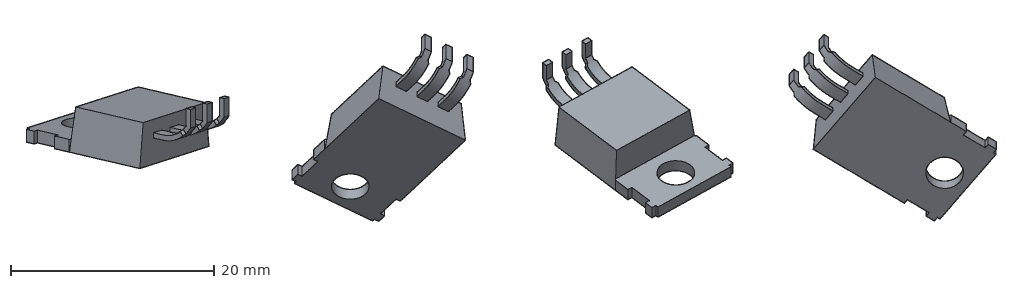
import cadquery as cq
import math

WIDTH = 10.5
TAB_THICKNESS = 1.31
NOTCH_DEPTH = 0.5
FRONT_STEP = 0.31
NOTCH_START = 1.31
NOTCH_END = 3.95
TAB_SIDE_END = 5.83
TAB_CORNER = 0.3
HOLE_X = 2.83
HOLE_DIAMETER = 3.7

BODY_FRONT = 5.86
BODY_BACK = 14.98
BODY_HEIGHT = 4.6
FRONT_LEAN = 0.4
SIDE_LEAN = 0.5

LENGTH = 19.55
HEIGHT = 6.4
LEAD_COUNT = 3
LEAD_PITCH = 2.55
LEAD_WIDTH = 1.3
TIP_WIDTH = 0.8
LEAD_BOTTOM = 2.7
LEAD_THICKNESS = 0.53
TIP_THICKNESS = 0.59
LEAD_EMBED = 0.98
BEND_START_X = 16.3
INNER_RADIUS = 3.3
TAPER_START_ANGLE = 40.0
TAPER_END_ANGLE = 44.5

OUTER_RADIUS = INNER_RADIUS + LEAD_THICKNESS
LEAD_TOP = LEAD_BOTTOM + LEAD_THICKNESS
BEND_CENTER_Z = LEAD_BOTTOM + OUTER_RADIUS


def bend_point(radius, angle):
    """Point (x, z) on the bend after turning the given angle from horizontal."""
    turn = math.radians(angle)
    return (BEND_START_X + radius * math.sin(turn), BEND_CENTER_Z - radius * math.cos(turn))


def angle_at_x(radius, x):
    """Bend angle at which an arc of the given radius reaches x."""
    return math.degrees(math.asin((x - BEND_START_X) / radius))


def make_tab():
    tab_length = TAB_SIDE_END + TAB_CORNER
    tab = cq.Workplane("XY").box(tab_length, WIDTH, TAB_THICKNESS, centered=(False, True, False))
    tab = tab.edges("|Z and >X").chamfer(TAB_CORNER)
    for start, end in ((0, FRONT_STEP), (NOTCH_START, NOTCH_END)):
        for side in (-1, 1):
            notch = (
                cq.Workplane("XY")
                .center((start + end) / 2, side * WIDTH / 2)
                .rect(end - start, 2 * NOTCH_DEPTH)
                .extrude(TAB_THICKNESS)
            )
            tab = tab.cut(notch)
    hole = cq.Workplane("XY").center(HOLE_X, 0).circle(HOLE_DIAMETER / 2).extrude(TAB_THICKNESS)
    return tab.cut(hole)


def make_body():
    base_length = BODY_BACK - BODY_FRONT
    return (
        cq.Workplane("XY")
        .center((BODY_FRONT + BODY_BACK) / 2, 0)
        .rect(base_length, WIDTH)
        .workplane(offset=BODY_HEIGHT)
        .center(FRONT_LEAN / 2, 0)
        .rect(base_length - FRONT_LEAN, WIDTH - 2 * SIDE_LEAN)
        .loft(ruled=True)
    )


def make_lead_blank():
    """Bent lead at full width over its whole length, centred on y = 0."""
    root_x = BODY_BACK - LEAD_EMBED
    tip_inner_x = LENGTH - TIP_THICKNESS
    outer_end = angle_at_x(OUTER_RADIUS, LENGTH)
    inner_end = angle_at_x(INNER_RADIUS, tip_inner_x)
    return (
        cq.Workplane("XZ")
        .moveTo(root_x, LEAD_BOTTOM)
        .lineTo(BEND_START_X, LEAD_BOTTOM)
        .threePointArc(bend_point(OUTER_RADIUS, outer_end / 2), bend_point(OUTER_RADIUS, outer_end))
        .lineTo(LENGTH, HEIGHT)
        .lineTo(tip_inner_x, HEIGHT)
        .lineTo(*bend_point(INNER_RADIUS, inner_end))
        .threePointArc(bend_point(INNER_RADIUS, inner_end / 2), (BEND_START_X, LEAD_TOP))
        .lineTo(root_x, LEAD_TOP)
        .close()
        .extrude(LEAD_WIDTH / 2, both=True)
    )


def make_lead():
    """Lead narrowed by a sloping shoulder on each side, from the bend to the tip."""
    turn = math.radians(TAPER_START_ANGLE)
    mean_radius = (INNER_RADIUS + OUTER_RADIUS) / 2
    start_x, start_z = bend_point(mean_radius, TAPER_START_ANGLE)
    shoulder_length = mean_radius * math.radians(TAPER_END_ANGLE - TAPER_START_ANGLE)
    shoulder_plane = cq.Plane(
        origin=(start_x, 0, start_z),
        xDir=(math.cos(turn), 0, math.sin(turn)),
        normal=(-math.sin(turn), 0, math.cos(turn)),
    )
    lead = make_lead_blank()
    for side in (-1, 1):
        trim = (
            cq.Workplane(shoulder_plane)
            .moveTo(0, side * LEAD_WIDTH / 2)
            .lineTo(shoulder_length, side * TIP_WIDTH / 2)
            .lineTo(HEIGHT, side * TIP_WIDTH / 2)
            .lineTo(HEIGHT, side * LEAD_WIDTH)
            .lineTo(0, side * LEAD_WIDTH)
            .close()
            .extrude(HEIGHT, both=True)
        )
        lead = lead.cut(trim)
    return lead


result = make_tab().union(make_body())
lead = make_lead()
for index in range(LEAD_COUNT):
    lead_y = (index - (LEAD_COUNT - 1) / 2) * LEAD_PITCH
    result = result.union(lead.translate((0, lead_y, 0)))